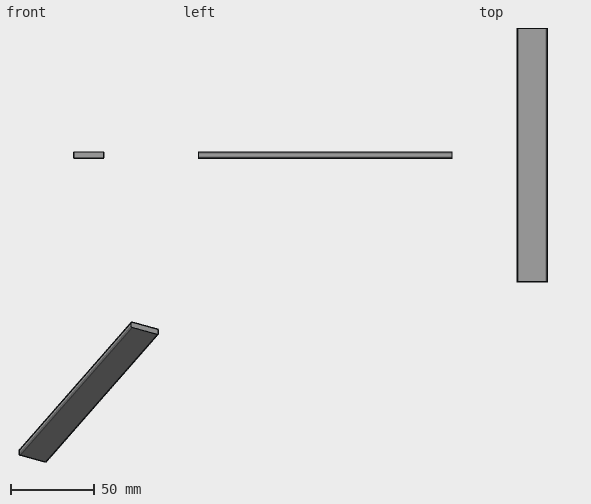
import cadquery as cq

width = 18.3
length = 152.4
thickness = 4.0
edge_radius = 0.8

bar = cq.Workplane("XY").box(width, length, thickness)
result = bar.edges("|Y").fillet(edge_radius)